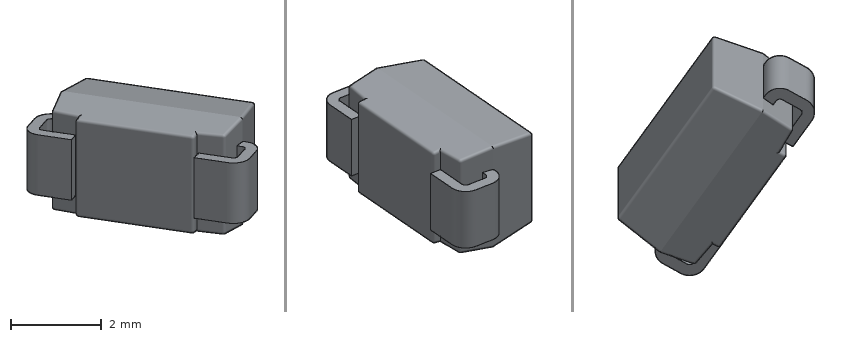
import cadquery as cq
import math

seam_length = 4.275
seam_height = 2.6
draft_angle = 7.0
back_depth = 1.205
front_depth = 1.09
edge_radius = 0.07

pad_length = 2.785
relief_inner_depth = 0.905
relief_angle = 5.0

lead_span = 5.2
lead_depth = 1.21
lead_height = 1.455
lead_thickness = 0.275
lead_outer_radius = 0.38
lead_tip_gap = 2.88
lead_embed = 0.21


def drafted_half(depth, direction):
    """Half body drafted from the seam along +Y (direction 1) or -Y (direction -1)."""
    seam = cq.Plane(origin=(0, 0, 0), xDir=(1, 0, 0), normal=(0, direction, 0))
    return cq.Workplane(seam).rect(seam_length, seam_height).extrude(depth, taper=draft_angle)


def end_relief(side):
    """Cutter for the relief at the +X (side 1) or -X (side -1) end."""
    inner_x = pad_length / 2
    outer_x = seam_length / 2
    outer_depth = relief_inner_depth - (outer_x - inner_x) * math.tan(math.radians(relief_angle))
    return (
        cq.Workplane("XY")
        .moveTo(side * inner_x, -relief_inner_depth)
        .lineTo(side * outer_x, -outer_depth)
        .lineTo(side * outer_x, -front_depth)
        .lineTo(side * inner_x, -front_depth)
        .close()
        .extrude(seam_height / 2, both=True)
    )


def is_rounded(edge):
    """True for every edge except the seam outline and the inside relief corners."""
    box = edge.BoundingBox()
    tolerance = 5.2e-05
    on_seam = max(abs(box.ymin), abs(box.ymax)) < tolerance
    at_relief_corner = (
        abs(abs(edge.Center().x) - pad_length / 2) < tolerance
        and abs(edge.Center().y + relief_inner_depth) < tolerance
    )
    return not (on_seam or at_relief_corner)


def make_body():
    body = drafted_half(back_depth, 1).union(drafted_half(front_depth, -1))
    for side in (-1, 1):
        body = body.cut(end_relief(side))
    rounded_edges = [edge for edge in body.edges().vals() if is_rounded(edge)]
    return body.newObject(rounded_edges).fillet(edge_radius)


def lead_block(outer_x, inner_x, back_y, front_y, corner_radius):
    """Block between two X and two Y positions, rounded at its -X corners."""
    return (
        cq.Workplane("XY")
        .moveTo(outer_x, back_y)
        .lineTo(inner_x, back_y)
        .lineTo(inner_x, front_y)
        .lineTo(outer_x, front_y)
        .close()
        .extrude(lead_height / 2, both=True)
        .edges("|Z and <X")
        .fillet(corner_radius)
    )


def make_left_lead():
    outer_x = -lead_span / 2
    tip_x = -lead_tip_gap / 2
    outer = lead_block(outer_x, tip_x, 0, -lead_depth, lead_outer_radius)
    opening = lead_block(
        outer_x + lead_thickness,
        tip_x,
        -lead_thickness,
        -lead_depth + lead_thickness,
        lead_outer_radius - lead_thickness,
    )
    arm_end_x = -seam_length / 2 + lead_embed
    arm_trim = cq.Workplane("XY").box(
        tip_x - arm_end_x, lead_thickness, lead_height, centered=(False, False, True)
    ).translate((arm_end_x, -lead_thickness, 0))
    return outer.cut(opening).cut(arm_trim)


left_lead = make_left_lead()
right_lead = left_lead.mirror("YZ")
result = make_body().union(left_lead).union(right_lead)